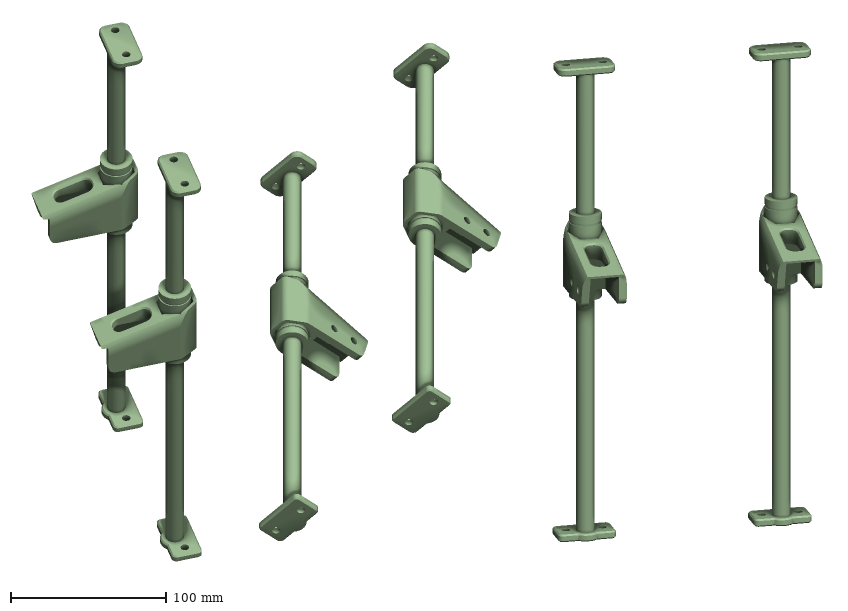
import cadquery as cq
import math


stand_spacing = 130.0
rod_length = 320.5
rod_diameter = 12.0

foot_width = 38.5
foot_thickness = 5.0
foot_back = 13.0
foot_front = -7.0
foot_chamfer = 1.0
top_foot_corner_radius = 5.5
bottom_foot_corner_radius = 3.2
foot_bulge_diameter = 19.0
screw_hole_diameter = 5.5
screw_hole_spacing = 24.5
screw_hole_y = (foot_back + foot_front) / 2

bushing_diameter = 21.0
bushing_bore = 12.2
bushing_bottom = 163.7
bushing_top = 220.5
groove_diameter = 20.0
groove_width = 1.5
groove_from_end = 4.8

bracket_width = 30.0
bracket_bottom = 171.7
bracket_back = foot_back
bracket_reach = 66.5
bracket_tip = bracket_back - bracket_reach
tip_height = 194.2
slope = math.radians(15)
bracket_height = tip_height + bracket_reach * math.tan(slope) - bracket_bottom

hex_across_flats = 21.5

crown_width = 24.0
shoulder_radius = 12.8

back_round_radius = 4.8
taper_start = 0.0
taper_angle = math.radians(30)
taper_round_radius = 6.5

cavity_width = 20.0
cavity_roof = 192.5
cavity_back = -13.0
toe_radius = 4.8
square_leg_end = -49.0

slot_width = 12.0
slot_corner_radius = 5.0
slot_near_end = -16.7
slot_far_end = -42.0
slot_chamfer = 1.0

pin_hole_diameter = 5.5
pin_hole_ys = (-23.0, -39.7)
pin_hole_z = 181.7


def top_surface_z(y):
    """Height of the sloping top of the bracket at a given Y."""
    return tip_height + (y - bracket_tip) * math.tan(slope)


def block(x_range, y_range, z_range):
    """Axis-aligned box between the given limits."""
    size = [high - low for low, high in (x_range, y_range, z_range)]
    corner = (x_range[0], y_range[0], z_range[0])
    return cq.Workplane("XY").box(*size, centered=False).translate(corner)


def cylinder_z(diameter, bottom, top):
    """Cylinder on the rod axis."""
    return cq.Workplane("XY").workplane(offset=bottom).circle(diameter / 2).extrude(top - bottom)


def make_rod():
    return cylinder_z(rod_diameter, 0, rod_length)


def foot_plate(corner_radius):
    """Plate with rounded corners, its underside at Z = 0."""
    plate = block(
        (-foot_width / 2, foot_width / 2), (foot_front, foot_back), (0, foot_thickness)
    )
    return plate.edges("|Z").fillet(corner_radius)


def drill_foot(foot):
    """Rod hole and the two screw holes."""
    foot = foot.cut(cylinder_z(rod_diameter, 0, foot_thickness))
    for side in (-1, 1):
        hole = cylinder_z(screw_hole_diameter, 0, foot_thickness)
        foot = foot.cut(hole.translate((side * screw_hole_spacing / 2, screw_hole_y, 0)))
    return foot


def make_top_foot():
    foot = foot_plate(top_foot_corner_radius).faces("<Z or >Z").chamfer(foot_chamfer)
    return drill_foot(foot).translate((0, 0, rod_length - foot_thickness))


def make_bottom_foot():
    """Foot whose front edge bulges out around the rod."""
    foot = foot_plate(bottom_foot_corner_radius)
    foot = foot.union(cylinder_z(foot_bulge_diameter, 0, foot_thickness))
    return drill_foot(foot.faces("<Z or >Z").chamfer(foot_chamfer))


def make_bushing():
    """Sleeve with a retaining groove near each end."""
    bushing = cylinder_z(bushing_diameter, bushing_bottom, bushing_top)
    groove_bottoms = (
        bushing_bottom + groove_from_end,
        bushing_top - groove_from_end - groove_width,
    )
    for bottom in groove_bottoms:
        top = bottom + groove_width
        ring = cylinder_z(bushing_diameter, bottom, top).cut(cylinder_z(groove_diameter, bottom, top))
        bushing = bushing.cut(ring)
    return bushing.cut(cylinder_z(bushing_bore, bushing_bottom, bushing_top))


def bracket_plan():
    """Prism of the plan outline: straight sides and a tapered, rounded back."""
    half_width = bracket_width / 2
    taper_inset = (bracket_back - taper_start) * math.tan(taper_angle)
    right_side = [
        (half_width, bracket_tip),
        (half_width, taper_start),
        (half_width - taper_inset, bracket_back),
    ]
    left_side = [(-x, y) for x, y in reversed(right_side)]
    prism = cq.Workplane("XY").workplane(offset=bracket_bottom)
    prism = prism.polyline(right_side + left_side).close().extrude(bracket_height)
    prism = prism.edges("|Z and (not <Y) and (not >Y)").fillet(taper_round_radius)
    return prism.edges("|Z and >Y").fillet(back_round_radius)


def bracket_side():
    """Prism of the side outline: sloping top and an end square to the slope."""
    tip_drop = tip_height - bracket_bottom
    outline = [
        (bracket_back, bracket_bottom),
        (bracket_back, top_surface_z(bracket_back)),
        (bracket_tip, tip_height),
        (bracket_tip + tip_drop * math.tan(slope), bracket_bottom),
    ]
    prism = cq.Workplane("YZ").polyline(outline).close().extrude(bracket_width / 2, both=True)
    return prism.faces("<Z").edges("<Y").fillet(toe_radius)


def bracket_crown():
    """Prism along the slope: flat top with curved shoulders running into the sides."""
    half_width = bracket_width / 2
    half_crown = crown_width / 2
    inset = half_width - half_crown
    sweep = math.acos(1 - inset / shoulder_radius)
    drop = shoulder_radius * math.sin(sweep)
    centre_x = half_width - shoulder_radius
    mid_x = centre_x + shoulder_radius * math.cos(sweep / 2)
    mid_y = -drop + shoulder_radius * math.sin(sweep / 2)
    depth = bracket_reach
    section_plane = cq.Plane(
        origin=(0, bracket_tip, tip_height),
        xDir=(1, 0, 0),
        normal=(0, -math.cos(slope), -math.sin(slope)),
    )
    section = (
        cq.Workplane(section_plane)
        .moveTo(-half_crown, 0)
        .lineTo(half_crown, 0)
        .threePointArc((mid_x, mid_y), (half_width, -drop))
        .lineTo(half_width, -depth)
        .lineTo(-half_width, -depth)
        .lineTo(-half_width, -drop)
        .threePointArc((-mid_x, mid_y), (-half_crown, 0))
        .close()
    )
    return section.extrude(2 * bracket_reach, both=True)


def cut_cavity(body):
    """Open the arm from below, leaving the left leg; the right leg is removed too."""
    return body.cut(
        block(
            (-cavity_width / 2, bracket_width),
            (bracket_tip, cavity_back),
            (bracket_bottom, cavity_roof),
        )
    )


def square_leg(crown):
    """Right leg, with an upright end and a rounded toe."""
    leg = block(
        (cavity_width / 2, bracket_width / 2),
        (square_leg_end, cavity_back),
        (bracket_bottom, cavity_roof),
    )
    return leg.faces("<Z").edges("<Y").fillet(toe_radius).intersect(crown)


def slope_plane(y):
    """Plane on the sloping top at a given Y: local X across, local Y up the slope."""
    return cq.Plane(
        origin=(0, y, top_surface_z(y)),
        xDir=(1, 0, 0),
        normal=(0, -math.sin(slope), math.cos(slope)),
    )


def slot_cutter():
    """Chamfered slot square to the sloping top, ending at the cavity roof."""
    middle_y = (slot_near_end + slot_far_end) / 2
    length = (slot_near_end - slot_far_end) / math.cos(slope)
    depth = bracket_reach / 2
    plane = cq.Workplane(slope_plane(middle_y))
    slot = plane.sketch().rect(slot_width, length).vertices().fillet(slot_corner_radius).finalize()
    cutter = slot.extrude(-depth)
    rim = (
        plane.sketch()
        .rect(slot_width + 2 * slot_chamfer, length + 2 * slot_chamfer)
        .vertices()
        .fillet(slot_corner_radius + slot_chamfer)
        .finalize()
        .extrude(-slot_chamfer, taper=45)
    )
    half_width = bracket_width / 2
    above_roof = block(
        (-half_width, half_width), (bracket_tip, bracket_back), (cavity_roof, rod_length)
    )
    return cutter.union(rim).intersect(above_roof)


def hex_bore():
    """Hexagonal bore around the bushing, with flats facing front and back."""
    corner_diameter = hex_across_flats / math.cos(math.pi / 6)
    bore = cq.Workplane("XY").workplane(offset=bracket_bottom)
    return bore.polygon(6, corner_diameter).extrude(bracket_height)


def pin_hole_cutters():
    """Cylinders from the middle of the arm out through the left leg."""
    holes = cq.Workplane("YZ").pushPoints([(y, pin_hole_z) for y in pin_hole_ys])
    return holes.circle(pin_hole_diameter / 2).extrude(-bracket_width / 2)


def make_bracket():
    crown = bracket_crown()
    bracket = bracket_plan().intersect(bracket_side()).intersect(crown)
    bracket = cut_cavity(bracket).union(square_leg(crown))
    bracket = bracket.cut(slot_cutter())
    bracket = bracket.cut(hex_bore())
    return bracket.cut(pin_hole_cutters())


stand_parts = [make_rod(), make_top_foot(), make_bottom_foot(), make_bushing(), make_bracket()]
solids = []
for side in (-1, 1):
    for part in stand_parts:
        solids.append(part.translate((side * stand_spacing / 2, 0, 0)).val())

result = cq.Compound.makeCompound(solids)